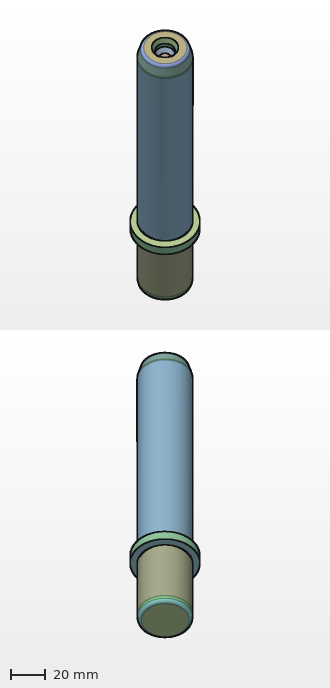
import cadquery as cq
import math

pin_length = 200.0
collar_bottom = 45.0
collar_thickness = 6.0
nose_length = 8.0

shaft_radius = 16.0
collar_radius = 20.0

tail_taper_length = 4.2
tail_angle = math.radians(5)
tail_radius = shaft_radius - tail_taper_length * math.tan(tail_angle)
tail_edge_fillet = 2.2

upper_relief = 1.0
lower_relief = 0.8

nose_angle = math.radians(15)
nose_tip_radius = shaft_radius - nose_length * math.tan(nose_angle)
nose_edge_fillet = 2.0
nose_blend_radius = 4.0

mouth_radius = 7.5
bore_radius = 5.8
floor_radius = 3.2
bore_length = 2.8
mouth_angle = math.radians(30)
floor_cone_angle = math.radians(45)

collar_top = collar_bottom + collar_thickness
nose_base = pin_length - nose_length
bore_top = pin_length - (mouth_radius - bore_radius) / math.tan(mouth_angle)
bore_bottom = bore_top - bore_length
hole_floor = bore_bottom - (bore_radius - floor_radius) / math.tan(floor_cone_angle)


def revolve_profile(points):
    """Revolve a closed (radius, height) outline about the pin axis."""
    return cq.Workplane("XZ").polyline(points).close().revolve(360, (0, 0), (0, 1))


pin = revolve_profile([
    (0, 0),
    (tail_radius, 0),
    (shaft_radius, tail_taper_length),
    (shaft_radius, collar_bottom - lower_relief),
    (shaft_radius - lower_relief, collar_bottom),
    (collar_radius, collar_bottom),
    (collar_radius, collar_top),
    (shaft_radius - upper_relief, collar_top),
    (shaft_radius, collar_top + upper_relief),
    (shaft_radius, nose_base),
    (nose_tip_radius, pin_length),
    (0, pin_length),
])

pin = pin.faces(">Z").edges().fillet(nose_edge_fillet)
pin = pin.faces("<Z").edges().fillet(tail_edge_fillet)
nose_base_edge = cq.NearestToPointSelector((0, 0, nose_base))
pin = pin.edges(nose_base_edge).fillet(nose_blend_radius)

centre_hole = revolve_profile([
    (0, pin_length),
    (mouth_radius, pin_length),
    (bore_radius, bore_top),
    (bore_radius, bore_bottom),
    (floor_radius, hole_floor),
    (0, hole_floor),
])

result = pin.cut(centre_hole)